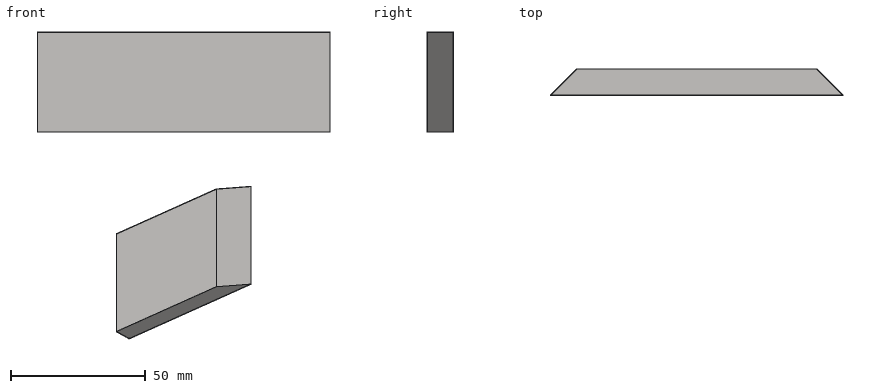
import cadquery as cq

length = 108.5
thickness = 9.8
height = 37.0
miter_setback = thickness

half_length = length / 2
half_back_length = half_length - miter_setback

outline = [
    (-half_length, -thickness / 2),
    (half_length, -thickness / 2),
    (half_back_length, thickness / 2),
    (-half_back_length, thickness / 2),
]

result = (
    cq.Workplane("XY")
    .workplane(offset=-height / 2)
    .polyline(outline)
    .close()
    .extrude(height)
)